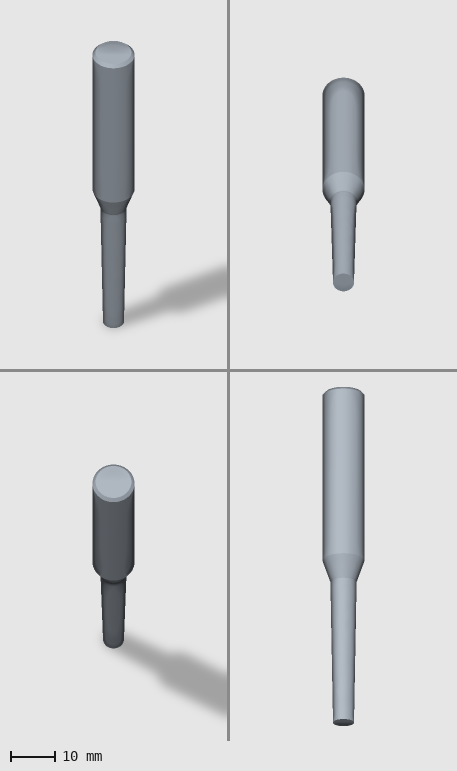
import cadquery as cq

total_length = 79.4
shank_diameter = 9.5
shank_chamfer = 0.7

cutter_length = 31.75
neck_top = 33.8
shank_bottom = 39.1

neck_diameter = 5.9
tip_diameter = 4.8


def make_shank():
    """Holder: chamfered shank, conical shoulder and short cylindrical neck."""
    shank_radius = shank_diameter / 2
    neck_radius = neck_diameter / 2
    profile = [
        (0, cutter_length),
        (neck_radius, cutter_length),
        (neck_radius, neck_top),
        (shank_radius, shank_bottom),
        (shank_radius, total_length - shank_chamfer),
        (shank_radius - shank_chamfer, total_length),
        (0, total_length),
    ]
    return cq.Workplane("XZ").polyline(profile).close().revolve(360, (0, 0), (0, 1))


def make_cutter():
    """Working end tapering from the neck diameter to the tip, butted against the underside of the neck."""
    profile = [
        (0, 0),
        (tip_diameter / 2, 0),
        (neck_diameter / 2, cutter_length),
        (0, cutter_length),
    ]
    return cq.Workplane("XZ").polyline(profile).close().revolve(360, (0, 0), (0, 1))


shank = make_shank()
cutter = make_cutter()

result = cq.Compound.makeCompound([shank.val(), cutter.val()])